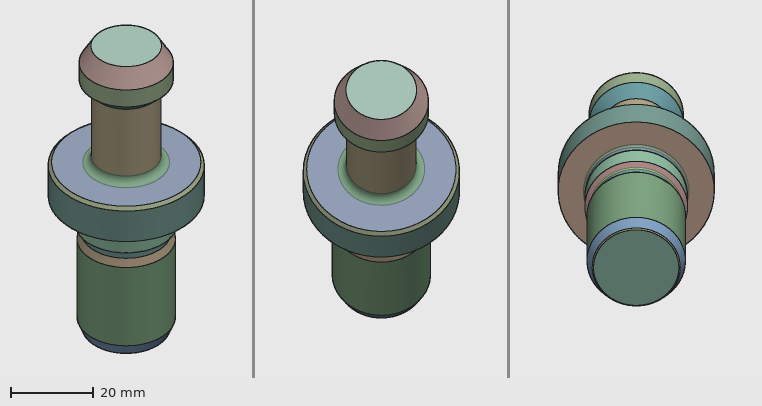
import cadquery as cq
import math

total_height = 85.0
flange_top = 50.0
flange_thickness = 10.0
flange_bottom = flange_top - flange_thickness

shank_radius = 12.0
neck_radius = 11.0
pilot_radius = 12.5
flange_radius = 19.0
stem_radius = 8.5
head_radius = 11.5
head_top_radius = 8.6

lead_in_height = 3.5
lead_in_inset = 1.3
tip_chamfer = 0.3
shank_top = 27.0
neck_bottom = 29.1

pilot_bottom = 31.8
shoulder_angle = math.radians(30)
undercut_fillet = 0.5
relief_height = 1.95
relief_depth = 0.2
relief_taper = 0.5

flange_chamfer = 0.85
root_fillet = 2.0

head_bottom = 72.1
head_band_bottom = 75.0
head_band_top = 80.1

lead_in_radius = shank_radius - lead_in_inset
relief_radius = pilot_radius - relief_depth
relief_bottom = flange_bottom - relief_height

shoulder_corner = pilot_bottom - (pilot_radius - neck_radius) * math.tan(shoulder_angle)
fillet_reach = undercut_fillet * math.tan((math.pi / 2 - shoulder_angle) / 2)
shoulder_fillet_start = (neck_radius, shoulder_corner - fillet_reach)
shoulder_fillet_end = (
    neck_radius + fillet_reach * math.cos(shoulder_angle),
    shoulder_corner + fillet_reach * math.sin(shoulder_angle),
)

profile = (
    cq.Workplane("XZ")
    .moveTo(0, 0)
    .lineTo(lead_in_radius - tip_chamfer, 0)
    .lineTo(lead_in_radius, tip_chamfer)
    .lineTo(shank_radius, lead_in_height)
    .lineTo(shank_radius, shank_top)
    .lineTo(neck_radius, neck_bottom)
    .lineTo(*shoulder_fillet_start)
    .radiusArc(shoulder_fillet_end, undercut_fillet)
    .lineTo(pilot_radius, pilot_bottom)
    .lineTo(pilot_radius, relief_bottom - relief_taper)
    .lineTo(relief_radius, relief_bottom)
    .lineTo(relief_radius, flange_bottom - undercut_fillet)
    .radiusArc((relief_radius + undercut_fillet, flange_bottom), undercut_fillet)
    .lineTo(flange_radius, flange_bottom)
    .lineTo(flange_radius, flange_top - flange_chamfer)
    .lineTo(flange_radius - flange_chamfer, flange_top)
    .lineTo(stem_radius + root_fillet, flange_top)
    .radiusArc((stem_radius, flange_top + root_fillet), root_fillet)
    .lineTo(stem_radius, head_bottom)
    .lineTo(head_radius, head_band_bottom)
    .lineTo(head_radius, head_band_top)
    .lineTo(head_top_radius, total_height)
    .lineTo(0, total_height)
    .close()
)

result = profile.revolve(360, (0, 0, 0), (0, 1, 0))